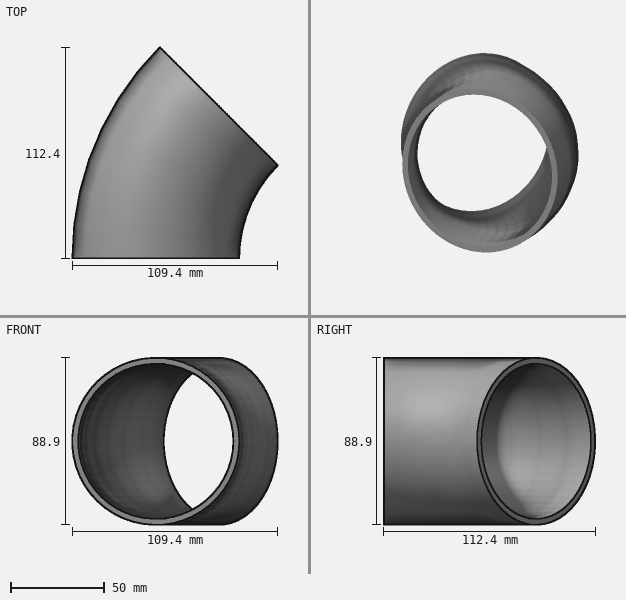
import cadquery as cq

outer_diameter = 88.9
wall_thickness = 3.2
bend_radius = 114.5
bend_angle = 45.0

inner_diameter = outer_diameter - 2 * wall_thickness


def make_elbow():
    """Sweep the pipe ring, starting at the -Y end face, around the bend axis on its +X side."""
    pipe_section = cq.Workplane("XZ").circle(outer_diameter / 2).circle(inner_diameter / 2)
    axis_start = (bend_radius, 1)
    axis_end = (bend_radius, 0)
    return pipe_section.revolve(bend_angle, axis_start, axis_end)


result = make_elbow()